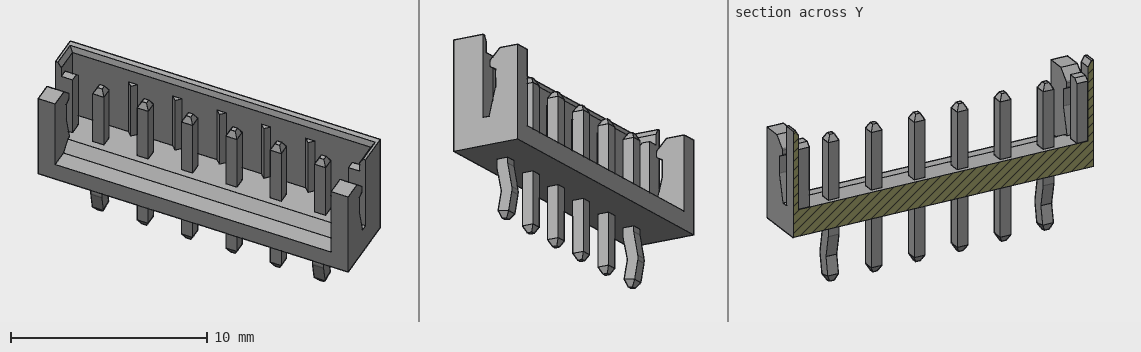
import cadquery as cq

length = 17.5
depth = 3.8
height = 6.0
overall_height = 9.2
floor_z = 1.52
side_wall = 0.33
back_wall = 0.44
cavity_back_y = depth - back_wall

bevel_height = 0.32
side_bevel = 0.2
back_bevel = 0.12

post_width = 0.96
post_top = 5.11
slot_back_y = 2.05
post_back_y = 1.7
post_waist_y = 1.31
waist_bottom_z = 3.05
waist_top_z = 4.0
nose_bottom_z = 4.18
post_top_y = 1.05
nose_y = 1.65
nose_top_z = post_top - (nose_y - post_top_y)
nose_radius = 0.1

sill_z = 1.0
sill_depth = 0.98
slope_top_y = sill_depth + floor_z - sill_z

guide_back_y = 2.73
guide_bevel = 0.23
v_rib_top = 4.9
v_rib_depth = 0.26

pin_count = 6
pitch = 2.5
pin_width = 0.63
pin_y = 2.2
pin_top = 5.11
pin_bottom = height - overall_height
tip_length = 0.35
tip_width = 0.26

kink_front_offset = 0.26
kink_back_offset = 0.25
kink_start_z = -0.32
kink_z = -1.75
kink_radius = 0.7
kink_back_start_z = -0.52
kink_end_z = -2.89
kink_end_rise = 0.12
kink_end_shift = 0.05

select_margin = 0.02

inner_half = length / 2 - side_wall
opening_half = length / 2 - post_width
pin_front_y = pin_y - pin_width / 2
pin_back_y = pin_y + pin_width / 2
upper_shoulder_z = pin_top - tip_length
lower_shoulder_z = pin_bottom + tip_length
first_pin_x = -pitch * (pin_count - 1) / 2


def box(x0, x1, y0, y1, z0, z1):
    """Box between two opposite corners."""
    return cq.Workplane("XY").box(x1 - x0, y1 - y0, z1 - z0, centered=False).translate((x0, y0, z0))


def extrude_x(yz_points, x0, x1):
    """Prism along X from an outline of (Y, Z) points."""
    return cq.Workplane("YZ", origin=(x0, 0, 0)).polyline(yz_points).close().extrude(x1 - x0)


def cavity():
    """Inside of the housing, widening into the bevel at the rim and open toward the front."""
    pocket = box(-inner_half, inner_half, post_back_y, cavity_back_y, floor_z, height)
    bevel_z = height - bevel_height
    lower_back = cavity_back_y
    upper_back = cavity_back_y + back_bevel
    upper_half = inner_half + side_bevel
    bevel = (
        cq.Workplane("XY", origin=(0, 0, bevel_z))
        .polyline([(-inner_half, 0), (inner_half, 0), (inner_half, lower_back), (-inner_half, lower_back)])
        .close()
        .workplane(offset=bevel_height)
        .polyline([(-upper_half, 0), (upper_half, 0), (upper_half, upper_back), (-upper_half, upper_back)])
        .close()
        .loft(ruled=True)
    )
    return pocket.union(bevel)


def front_opening():
    """Gap between the posts, with a slope from the floor down to the sill."""
    outline = [
        (0, sill_z),
        (sill_depth, sill_z),
        (slope_top_y, floor_z),
        (slot_back_y, floor_z),
        (slot_back_y, height),
        (0, height),
    ]
    return extrude_x(outline, -opening_half, opening_half)


def latch_slot():
    """Slot behind the posts; its front side shapes the hooked nose of each post."""
    outline = [
        (slot_back_y, floor_z),
        (post_back_y, floor_z),
        (post_waist_y, waist_bottom_z),
        (post_waist_y, waist_top_z),
        (nose_y, nose_bottom_z),
        (nose_y, nose_top_z),
        (post_top_y, post_top),
        (0, post_top),
        (0, height),
        (slot_back_y, height),
    ]
    slot = extrude_x(outline, -length / 2, length / 2)
    nose_corners = cq.selectors.BoxSelector(
        (-length, nose_y - select_margin, nose_bottom_z - select_margin),
        (length, nose_y + select_margin, nose_top_z + select_margin),
    )
    return slot.edges("|X").edges(nose_corners).fillet(nose_radius)


def guide_rib():
    """Upright rib rooted in the left end wall, bevelled at its top rear edge."""
    outline = [
        (slot_back_y, 0),
        (guide_back_y, 0),
        (guide_back_y, post_top - guide_bevel),
        (guide_back_y - guide_bevel, post_top),
        (slot_back_y, post_top),
    ]
    return extrude_x(outline, -length / 2 + side_wall / 2, -opening_half)


def v_rib(x):
    """Triangular rib standing out from the back wall."""
    return (
        cq.Workplane("XY", origin=(x, cavity_back_y, 0))
        .polyline([(-v_rib_depth, 0), (0, -v_rib_depth), (v_rib_depth, 0)])
        .close()
        .extrude(v_rib_top)
    )


def pin_tip(x, front_y, front_z, back_y, back_z, tip_z):
    """Tapered pin end from a shoulder, level or slanted from front to back, to a small parallel flat."""

    def rectangle(half_width, front, back):
        corners = [
            cq.Vector(x - half_width, *front),
            cq.Vector(x + half_width, *front),
            cq.Vector(x + half_width, *back),
            cq.Vector(x - half_width, *back),
        ]
        return cq.Wire.makePolygon(corners, close=True)

    shoulder = rectangle(pin_width / 2, (front_y, front_z), (back_y, back_z))
    half_tip = tip_width / 2
    flat_back_z = tip_z + (back_z - front_z) * tip_width / (back_y - front_y)
    flat = rectangle(half_tip, (pin_y - half_tip, tip_z), (pin_y + half_tip, flat_back_z))
    return cq.Workplane(cq.Solid.makeLoft([shoulder, flat], True))


def straight_tip(x, shoulder_z, tip_z):
    """Tapered end of a straight pin."""
    return pin_tip(x, pin_front_y, shoulder_z, pin_back_y, shoulder_z, tip_z)


def pin_bar(x, bottom_z, top_z):
    """Straight square length of a pin."""
    half = pin_width / 2
    return box(x - half, x + half, pin_front_y, pin_back_y, bottom_z, top_z)


def kinked_leg(x):
    """Lower leg of an end pin, bowed toward the front and ending in a slanted tip."""
    front_apex_y = pin_front_y - kink_front_offset
    end_front_y = pin_front_y - kink_end_shift
    end_back_y = pin_back_y - kink_end_shift
    end_back_z = kink_end_z + kink_end_rise
    outline = [
        (pin_front_y, 0),
        (pin_front_y, kink_start_z),
        (front_apex_y, kink_z),
        (end_front_y, kink_end_z),
        (end_back_y, end_back_z),
        (pin_back_y - kink_back_offset, kink_z),
        (pin_back_y, kink_back_start_z),
        (pin_back_y, 0),
    ]
    leg = extrude_x(outline, x - pin_width / 2, x + pin_width / 2)
    front_apex = cq.selectors.NearestToPointSelector((x, front_apex_y, kink_z))
    leg = leg.edges("|X").edges(front_apex).fillet(kink_radius)
    return leg.union(pin_tip(x, end_front_y, kink_end_z, end_back_y, end_back_z, pin_bottom))


result = box(-length / 2, length / 2, 0, depth, 0, height)
result = result.cut(cavity()).cut(latch_slot()).cut(front_opening())

left_guide = guide_rib()
result = result.union(left_guide).union(left_guide.mirror("YZ"))

for gap in range(pin_count - 1):
    result = result.union(v_rib(first_pin_x + (gap + 0.5) * pitch))

for index in range(pin_count):
    pin_x = first_pin_x + index * pitch
    result = result.union(pin_bar(pin_x, 0, upper_shoulder_z))
    result = result.union(straight_tip(pin_x, upper_shoulder_z, pin_top))
    if index in (0, pin_count - 1):
        result = result.union(kinked_leg(pin_x))
    else:
        result = result.union(pin_bar(pin_x, lower_shoulder_z, 0))
        result = result.union(straight_tip(pin_x, lower_shoulder_z, pin_bottom))